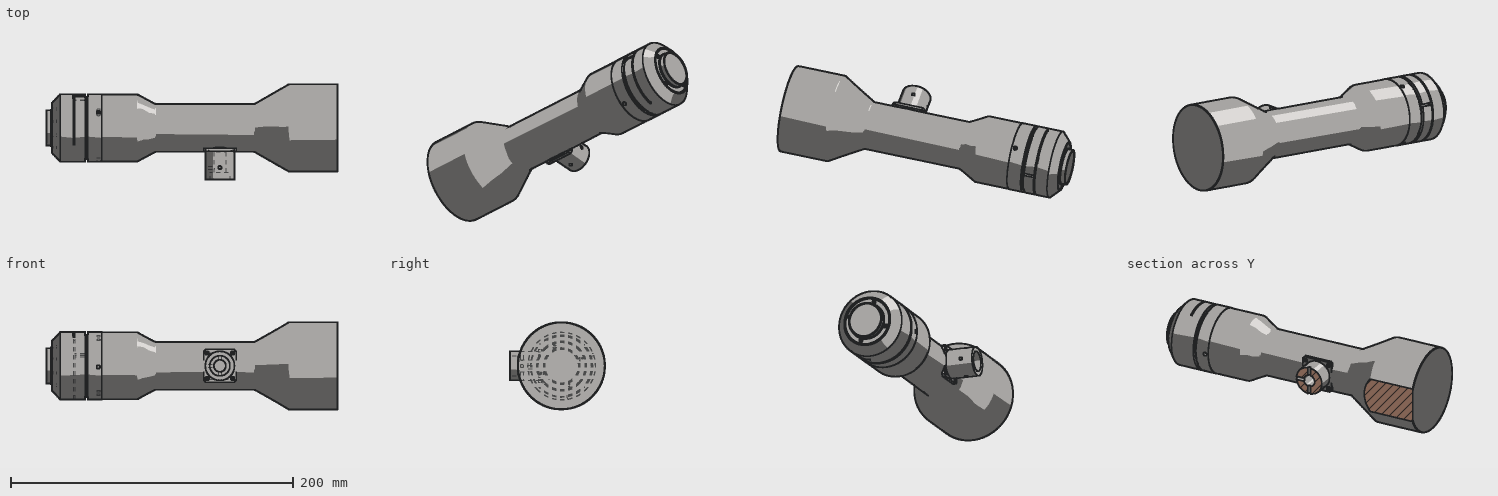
import cadquery as cq
import math

TOTAL_LENGTH = 206.5
COLLAR_START = 3.4
HEAD_FACE_X = 4.0
HEAD_CHAMFER_END = 10.0
GROOVE_START = 27.5
GROOVE_STEP_X = 28.8
GROOVE_END = 29.5
RING_END = 39.5
BARREL_END = 64.5
TUBE_START = 77.3
TUBE_END = 147.5
BELL_START = 171.9

NOSE_RADIUS = 12.6
COLLAR_RADIUS = 13.0
HEAD_FACE_RADIUS = 17.7
HEAD_RADIUS = 24.0
GROOVE_FLOOR_RADIUS = 21.6
GROOVE_STEP_RADIUS = 22.1
BARREL_RADIUS = 23.85
TUBE_RADIUS = 17.0
BELL_RADIUS = 31.0
EDGE_BREAK = 0.4
CONE_CORNER_ROUND = 1.4

HEAD_CLOCKING = 20.0
FACE_RECESS_RADIUS = 16.6
FACE_RECESS_DEPTH = 0.3
NOSE_RECESS_RADIUS = 11.9
NOSE_RECESS_DEPTH = 0.4
FACE_HOLE_COUNT = 4
FACE_HOLE_CIRCLE_RADIUS = 14.5
FACE_HOLE_DEPTH = 3.0

SCREW_HOLE_DIAMETER = 1.6
SCREW_HOLE_MOUTH_DIAMETER = 2.6
COUNTERSINK_ANGLE = 90.0

SLOT_CENTRE_X = 19.6
SLOT_WIDTH = 1.0
SLOT_FLOOR_RADIUS = 21.0
SLOT_HALF_ANGLE = 100.0
SLIT_WIDTH = 1.6

SET_HOLE_COUNT = 3
SET_HOLE_X = 36.9
SET_HOLE_DIAMETER = 2.5
SET_HOLE_DEPTH = 3.0
SET_HOLE_START_ANGLE = 62.0

CONNECTOR_X = 123.0
CONNECTOR_TIP = 36.5
CONNECTOR_RADIUS = 10.35
SOCKET_DIAMETER = 14.3
SOCKET_DEPTH = 5.3
SOCKET_HOLE_DIAMETER = 8.5
PIN_HOLE_DIAMETER = 2.2
PIN_HOLE_SETBACK = 8.4
FLANGE_SIZE = 23.2
FLANGE_FRONT = 16.4
FLANGE_THICKNESS = 2.2
FLANGE_CORNER_CHAMFER = 1.5
FLANGE_HOLE_SPACING = 18.0


def disc(start_x, end_x, radius):
    """Cylinder on the X axis between two stations."""
    return cq.Workplane("YZ", origin=(start_x, 0, 0)).circle(radius).extrude(end_x - start_x)


def turn(shape, angle):
    """Rotate about the X axis; angle runs from +Y towards +Z."""
    return shape.rotate((0, 0, 0), (1, 0, 0), angle)


def turned_body():
    """Half section revolved about the X axis."""
    profile = [
        (0, 0),
        (0, NOSE_RADIUS),
        (COLLAR_START, NOSE_RADIUS),
        (COLLAR_START, COLLAR_RADIUS),
        (HEAD_FACE_X, COLLAR_RADIUS),
        (HEAD_FACE_X, HEAD_FACE_RADIUS),
        (HEAD_CHAMFER_END, HEAD_RADIUS),
        (GROOVE_START, HEAD_RADIUS),
        (GROOVE_START, GROOVE_FLOOR_RADIUS),
        (GROOVE_STEP_X, GROOVE_FLOOR_RADIUS),
        (GROOVE_STEP_X, GROOVE_STEP_RADIUS),
        (GROOVE_END, GROOVE_STEP_RADIUS),
        (GROOVE_END, HEAD_RADIUS),
        (RING_END, HEAD_RADIUS),
        (RING_END, BARREL_RADIUS),
        (BARREL_END, BARREL_RADIUS),
        (TUBE_START, TUBE_RADIUS),
        (TUBE_END, TUBE_RADIUS),
        (BELL_START, BELL_RADIUS),
        (TOTAL_LENGTH - EDGE_BREAK, BELL_RADIUS),
        (TOTAL_LENGTH, BELL_RADIUS - EDGE_BREAK),
        (TOTAL_LENGTH, 0),
    ]
    body = cq.Workplane("XY").polyline(profile).close().revolve(360, (0, 0, 0), (1, 0, 0))
    for corner_x in (BARREL_END, TUBE_START, TUBE_END, BELL_START):
        near_corner = cq.selectors.BoxSelector(
            (corner_x - EDGE_BREAK, -EDGE_BREAK, -EDGE_BREAK),
            (corner_x + EDGE_BREAK, EDGE_BREAK, EDGE_BREAK),
        )
        body = body.edges(near_corner).fillet(CONE_CORNER_ROUND)
    return body


def face_cuts():
    """Shallow recesses in the nose and head faces, and the ring of face holes."""
    floor_x = HEAD_FACE_X + FACE_RECESS_DEPTH
    cuts = disc(HEAD_FACE_X, floor_x, FACE_RECESS_RADIUS)
    cuts = cuts.cut(disc(HEAD_FACE_X, floor_x, COLLAR_RADIUS))
    cuts = cuts.union(disc(0, NOSE_RECESS_DEPTH, NOSE_RECESS_RADIUS))
    mouth_radius = SCREW_HOLE_MOUTH_DIAMETER / 2
    bore_radius = SCREW_HOLE_DIAMETER / 2
    countersink_depth = (mouth_radius - bore_radius) / math.tan(math.radians(COUNTERSINK_ANGLE / 2))
    hole_profile = [
        (floor_x, 0),
        (floor_x, mouth_radius),
        (floor_x + countersink_depth, bore_radius),
        (floor_x + FACE_HOLE_DEPTH, bore_radius),
        (floor_x + FACE_HOLE_DEPTH, 0),
    ]
    hole = cq.Workplane("XY").polyline(hole_profile).close().revolve(360, (0, 0, 0), (1, 0, 0))
    hole = hole.translate((0, FACE_HOLE_CIRCLE_RADIUS, 0))
    for index in range(FACE_HOLE_COUNT):
        cuts = cuts.union(turn(hole, HEAD_CLOCKING + index * 360 / FACE_HOLE_COUNT))
    return cuts


def clamp_cut():
    """Part-circle slot around the head plus the slit that opens it into the groove."""
    start_x = SLOT_CENTRE_X - SLOT_WIDTH / 2
    half_angle = math.radians(SLOT_HALF_ANGLE)
    inner_end = (SLOT_FLOOR_RADIUS * math.cos(half_angle), SLOT_FLOOR_RADIUS * math.sin(half_angle))
    outer_radius = HEAD_RADIUS + 1
    outer_end = (outer_radius * math.cos(half_angle), outer_radius * math.sin(half_angle))
    slot = (
        cq.Workplane("YZ", origin=(start_x, 0, 0))
        .moveTo(inner_end[0], -inner_end[1])
        .threePointArc((SLOT_FLOOR_RADIUS, 0), inner_end)
        .lineTo(*outer_end)
        .threePointArc((outer_radius, 0), (outer_end[0], -outer_end[1]))
        .close()
        .extrude(SLOT_WIDTH)
    )
    slit = cq.Workplane("XY").box(
        GROOVE_START - SLOT_CENTRE_X,
        outer_radius - SLOT_FLOOR_RADIUS,
        SLIT_WIDTH,
        centered=(False, False, True),
    )
    slit = slit.translate((SLOT_CENTRE_X, SLOT_FLOOR_RADIUS, 0))
    return turn(slot.union(slit), HEAD_CLOCKING)


def set_screw_holes():
    """Radial blind holes spaced evenly around the ring."""
    hole = (
        cq.Workplane("XZ", origin=(SET_HOLE_X, HEAD_RADIUS, 0))
        .circle(SET_HOLE_DIAMETER / 2)
        .extrude(SET_HOLE_DEPTH)
    )
    holes = cq.Workplane("XY")
    for index in range(SET_HOLE_COUNT):
        holes = holes.add(turn(hole, SET_HOLE_START_ANGLE + index * 360 / SET_HOLE_COUNT))
    return holes.combine()


def connector_plane(distance):
    """Workplane across the connector at a distance from the tube axis, normal along -Y."""
    return cq.Workplane("XZ", origin=(CONNECTOR_X, -distance, 0))


def flange():
    """Square connector plate with chamfered corners and four holes."""
    return (
        connector_plane(FLANGE_FRONT - FLANGE_THICKNESS)
        .rect(FLANGE_SIZE, FLANGE_SIZE)
        .extrude(FLANGE_THICKNESS)
        .edges("|Y")
        .chamfer(FLANGE_CORNER_CHAMFER)
        .faces("<Y")
        .workplane()
        .rect(FLANGE_HOLE_SPACING, FLANGE_HOLE_SPACING, forConstruction=True)
        .vertices()
        .cskHole(SCREW_HOLE_DIAMETER, SCREW_HOLE_MOUTH_DIAMETER, COUNTERSINK_ANGLE)
    )


def connector_cuts():
    """Stepped socket and the three pin holes through the connector wall."""
    socket = connector_plane(CONNECTOR_TIP - SOCKET_DEPTH).circle(SOCKET_DIAMETER / 2).extrude(SOCKET_DEPTH)
    inner_hole = (
        connector_plane(0)
        .circle(SOCKET_HOLE_DIAMETER / 2)
        .extrude(CONNECTOR_TIP)
    )
    pin_y = -(CONNECTOR_TIP - PIN_HOLE_SETBACK)
    upright_pin = (
        cq.Workplane("XY", origin=(CONNECTOR_X, pin_y, 0))
        .circle(PIN_HOLE_DIAMETER / 2)
        .extrude(CONNECTOR_RADIUS, both=True)
    )
    side_pin = (
        cq.Workplane("YZ", origin=(CONNECTOR_X, pin_y, 0))
        .circle(PIN_HOLE_DIAMETER / 2)
        .extrude(-CONNECTOR_RADIUS)
    )
    return socket.union(inner_hole).union(upright_pin).union(side_pin)


body = turned_body().cut(face_cuts()).cut(clamp_cut()).cut(set_screw_holes())
connector = connector_plane(0).circle(CONNECTOR_RADIUS).extrude(CONNECTOR_TIP).union(flange())
result = body.union(connector.cut(connector_cuts()))